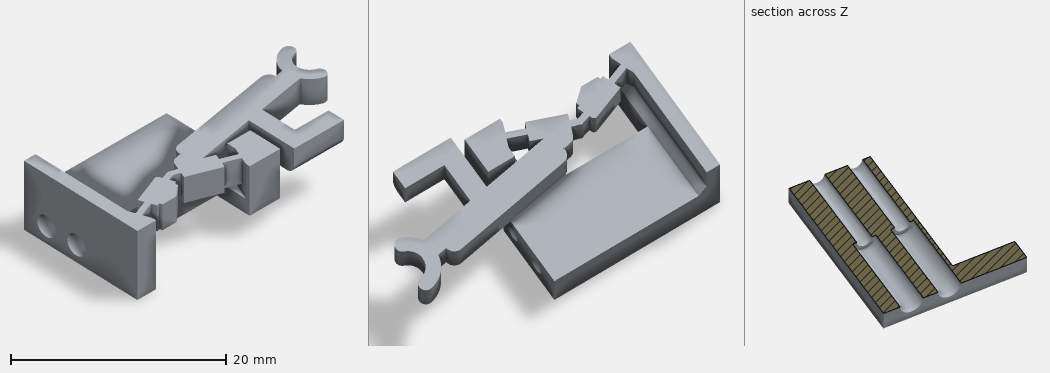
import cadquery as cq
import math

TOTAL_HEIGHT = 8.0
BASE_HEIGHT = 4.0
LAYER_THICKNESS = 3.0
LAYER_BOTTOM = TOTAL_HEIGHT - LAYER_THICKNESS

BASE_WIDTH = 15.2
BASE_DEPTH = 18.45
SLAB_WIDTH = 8.62
FOOT_FRONT = 14.5
FOOT_BOTTOM = 2.28
WALL_THICKNESS = 1.5
WALL_FOOT = 2.4

MOUNT_SLOPE_START = 12.3
MOUNT_SLOPE_END = 14.7
POST_LEFT = 11.2
POST_FRONT = 15.47

HOLE_DIAMETER = 1.58
COUNTERBORE_DIAMETER = 2.43
COUNTERBORE_DEPTH = BASE_DEPTH / 2
HOLE_HEIGHT = 2.0
FIRST_HOLE_X = 3.0
HOLE_SPACING = 4.0

MIRROR_Y = 8.43
LINK_TILT = 21.0
LINK_WIDTH = 2.03
LINK_LENGTH = 4.1
LINK_CENTRE = (11.95, 11.23)
LINK_CORNER_RADIUS = 0.35
FLEXURE_WIDTH = 0.67
FLEXURE_OVERLAP = 0.18
OUTER_FLEXURE = ((12.7, 13.1), (13.45, 15.02))
MIDDLE_FLEXURE = ((11.2, 9.4), (10.9, MIRROR_Y))
HEEL_POINTS = [(10.62, 9.55), (9.6, 9.95), (9.35, 11.2), (11.23, 11.98)]
HEEL_RADIUS = 0.85
COUPLER_PAD_POINTS = [(13.47, 4.43), (13.85, 4.55), (13.85, 6.37), (12.65, 7.7), (12.32, 7.62), (11.98, 5.75)]

ARM_TILT = 10.0
ARM_ORIGIN = (11.25, 12.2)
ARM_WIDTH = 3.05
ARM_BOTTOM = -0.6
ARM_TOP = 14.4
ARM_RADIUS = 0.97
NECK_WIDTH = 2.03

HOOK_CENTRE_HEIGHT = 18.35
HOOK_RADIUS = 2.37
HOOK_WIDTH = 1.45
HOOK_START_ANGLE = 191.5
HOOK_END_ANGLE = 339.5

STOP_RIGHT = 16.08
STOP_BOTTOM = 19.42
STOP_TOP = 25.85
STOP_THICKNESS = 2.05
STOP_ROOT_X = 9.1
STOP_RADIUS = 1.0


def prism(points, bottom, top=TOTAL_HEIGHT):
    return cq.Workplane("XY").workplane(offset=bottom).polyline(points).close().extrude(top - bottom)


def block(x_range, y_range, bottom, top):
    (left, right), (front, back) = x_range, y_range
    return prism([(left, front), (right, front), (right, back), (left, back)], bottom, top)


def layer_rect(width, length, centre):
    return cq.Workplane("XY").workplane(offset=LAYER_BOTTOM).center(*centre).rect(width, length).extrude(
        LAYER_THICKNESS)


def mirrored(point):
    return (point[0], 2 * MIRROR_Y - point[1])


def turned(shape, centre, angle):
    return shape.rotate((*centre, 0), (*centre, 1), angle)


def base():
    slab = block((0, SLAB_WIDTH), (0, BASE_DEPTH), 0, BASE_HEIGHT)
    foot = block((0, BASE_WIDTH), (FOOT_FRONT, BASE_DEPTH), FOOT_BOTTOM, BASE_HEIGHT)
    wall = (
        cq.Workplane("YZ")
        .polyline([(0, 0), (WALL_FOOT, 0), (WALL_FOOT, BASE_HEIGHT), (WALL_THICKNESS, LAYER_BOTTOM),
                   (WALL_THICKNESS, TOTAL_HEIGHT), (0, TOTAL_HEIGHT)])
        .close()
        .extrude(BASE_WIDTH)
    )
    return slab.union(foot).union(wall)


def mounts():
    wall_mount = prism([(MOUNT_SLOPE_START, 0), (MOUNT_SLOPE_START, WALL_THICKNESS),
                        (MOUNT_SLOPE_END, WALL_FOOT), (BASE_WIDTH, WALL_FOOT), (BASE_WIDTH, 0)], 0)
    post = prism([(POST_LEFT, BASE_DEPTH), (POST_LEFT, POST_FRONT), (MOUNT_SLOPE_START, POST_FRONT),
                  (MOUNT_SLOPE_END, FOOT_FRONT), (BASE_WIDTH, FOOT_FRONT),
                  (BASE_WIDTH, BASE_DEPTH)], FOOT_BOTTOM)
    return wall_mount.union(post)


def screw_holes():
    centres = [(FIRST_HOLE_X + i * HOLE_SPACING, HOLE_HEIGHT) for i in range(2)]
    sketch = cq.Workplane("XZ").pushPoints(centres)
    holes = sketch.circle(HOLE_DIAMETER / 2).extrude(-BASE_DEPTH)
    counterbores = sketch.circle(COUNTERBORE_DIAMETER / 2).extrude(-COUNTERBORE_DEPTH)
    return holes.union(counterbores)


def flexure(start, end):
    dx = end[0] - start[0]
    dy = end[1] - start[1]
    length = math.hypot(dx, dy) + 2 * FLEXURE_OVERLAP
    centre = ((start[0] + end[0]) / 2, (start[1] + end[1]) / 2)
    angle = math.degrees(math.atan2(-dx, dy))
    return turned(layer_rect(FLEXURE_WIDTH, length, centre), centre, angle)


def linkage():
    upper_link = turned(layer_rect(LINK_WIDTH, LINK_LENGTH, LINK_CENTRE), LINK_CENTRE, -LINK_TILT)
    heel = prism(HEEL_POINTS, LAYER_BOTTOM)
    heel_corner = (*HEEL_POINTS[1], LAYER_BOTTOM + LAYER_THICKNESS / 2)
    heel = heel.edges(cq.selectors.NearestToPointSelector(heel_corner)).fillet(HEEL_RADIUS)
    upper_link = upper_link.union(heel)

    lower_centre = mirrored(LINK_CENTRE)
    lower_link = turned(
        layer_rect(LINK_WIDTH, LINK_LENGTH, lower_centre).edges("|Z and <X and >Y").fillet(LINK_CORNER_RADIUS),
        lower_centre, LINK_TILT)
    lower_link = lower_link.union(prism(COUPLER_PAD_POINTS, LAYER_BOTTOM))

    links = upper_link.union(lower_link)
    for start, end in (OUTER_FLEXURE, MIDDLE_FLEXURE):
        links = links.union(flexure(start, end)).union(flexure(mirrored(start), mirrored(end)))
    return links


def hook(centre):
    def polar(radius, angle):
        a = math.radians(angle)
        return (centre[0] + radius * math.cos(a), centre[1] + radius * math.sin(a))

    inner = HOOK_RADIUS - HOOK_WIDTH / 2
    outer = HOOK_RADIUS + HOOK_WIDTH / 2
    middle_angle = (HOOK_START_ANGLE + HOOK_END_ANGLE) / 2
    crescent = (
        cq.Workplane("XY").workplane(offset=LAYER_BOTTOM)
        .moveTo(*polar(outer, HOOK_START_ANGLE))
        .threePointArc(polar(outer, middle_angle), polar(outer, HOOK_END_ANGLE))
        .lineTo(*polar(inner, HOOK_END_ANGLE))
        .threePointArc(polar(inner, middle_angle), polar(inner, HOOK_START_ANGLE))
        .close()
        .extrude(LAYER_THICKNESS)
    )
    tips = (
        cq.Workplane("XY").workplane(offset=LAYER_BOTTOM)
        .pushPoints([polar(HOOK_RADIUS, HOOK_START_ANGLE), polar(HOOK_RADIUS, HOOK_END_ANGLE)])
        .circle(HOOK_WIDTH / 2)
        .extrude(LAYER_THICKNESS)
    )
    return crescent.union(tips)


def arm():
    body = block((-ARM_WIDTH, 0), (ARM_BOTTOM, ARM_TOP), LAYER_BOTTOM, TOTAL_HEIGHT)
    body = body.edges("|Z and <X").fillet(ARM_RADIUS)
    neck_top = HOOK_CENTRE_HEIGHT - HOOK_RADIUS
    neck = block((-NECK_WIDTH, 0), (0, neck_top), LAYER_BOTTOM, TOTAL_HEIGHT)
    upright = body.union(neck)
    tilted = turned(upright, (0, 0), ARM_TILT).translate((*ARM_ORIGIN, 0))

    tilt = math.radians(ARM_TILT)
    across = -NECK_WIDTH / 2
    hook_centre = (
        ARM_ORIGIN[0] + across * math.cos(tilt) - HOOK_CENTRE_HEIGHT * math.sin(tilt),
        ARM_ORIGIN[1] + across * math.sin(tilt) + HOOK_CENTRE_HEIGHT * math.cos(tilt),
    )
    return tilted.union(hook(hook_centre))


def stop():
    shape = prism([(STOP_ROOT_X, STOP_BOTTOM), (STOP_RIGHT, STOP_BOTTOM), (STOP_RIGHT, STOP_TOP),
                   (STOP_RIGHT - STOP_THICKNESS, STOP_TOP),
                   (STOP_RIGHT - STOP_THICKNESS, STOP_BOTTOM + STOP_THICKNESS),
                   (STOP_ROOT_X, STOP_BOTTOM + STOP_THICKNESS)], LAYER_BOTTOM)
    return shape.faces(">X").edges("<Z").fillet(STOP_RADIUS)


result = base().cut(screw_holes()).union(mounts()).union(linkage()).union(arm()).union(stop())